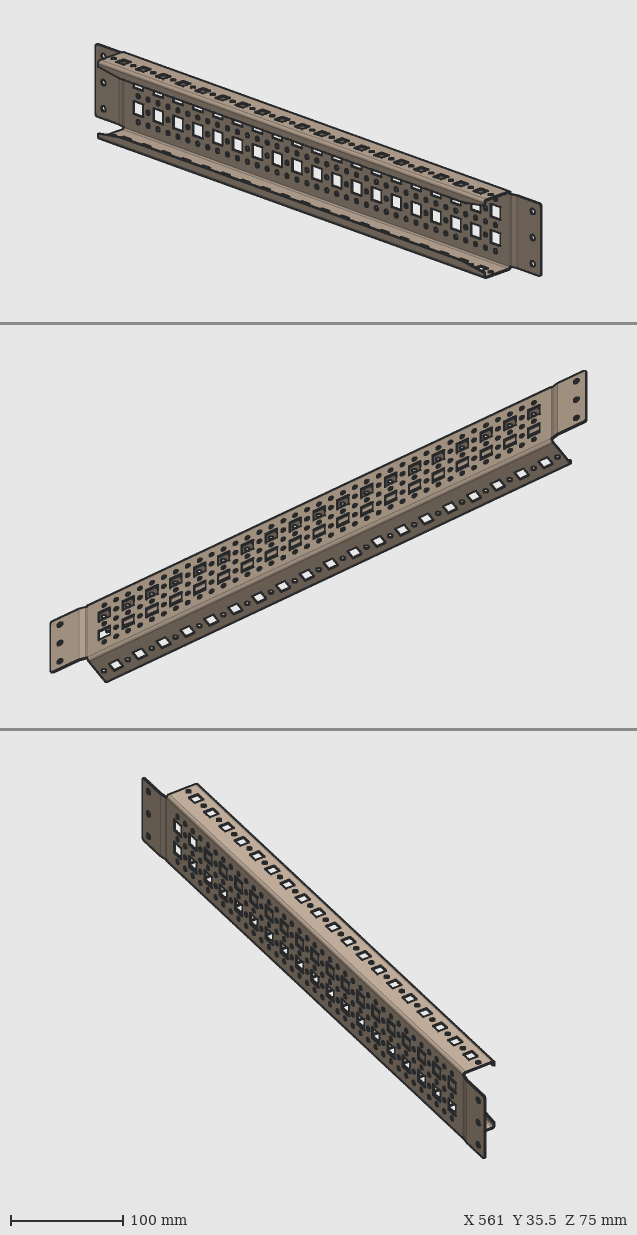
import cadquery as cq
import math

overall_length = 561.0
overall_depth = 35.5
overall_height = 75.0

channel_length = 486.5
channel_end_x = channel_length / 2
sheet = 1.5
bend_radius = 2 * sheet
lip_height = 9.5
lip_end_height = 5.5
lip_taper_length = 28.0

ear_height = overall_height - 2 * bend_radius
ear_inner_x = 251.0
joggle_end_x = 244.0
ear_corner_radius = 3.0
ear_hole_diameter = 5.5
ear_hole_inset = 10.0

window_columns = 19
window_span = 450.0
pitch = window_span / (window_columns - 1)
half_pitch = pitch / 2
web_window = 12.5
flange_window = 9.5
round_hole_diameter = 4.4
flange_row_from_front = 14.0

web_back_y = -sheet
web_front_y = web_back_y - sheet
front_y = -overall_depth
flange_row_y = front_y + flange_row_from_front

window_xs = [(i - (window_columns - 1) / 2) * pitch for i in range(window_columns)]
between_xs = [x + half_pitch for x in window_xs[:-1]]
all_web_xs = window_xs + between_xs
flange_round_xs = [window_xs[0] - half_pitch] + [x + half_pitch for x in window_xs]


def grid(xs, rows):
    return [(x, row) for x in xs for row in rows]


def lipped_channel():
    """C-section with rounded bends, hollowed and opened between the lips."""
    depth = web_back_y - front_y
    mid_y = (web_back_y + front_y) / 2
    outer = (
        cq.Workplane("XY")
        .box(channel_length, depth, overall_height)
        .edges("|X")
        .fillet(bend_radius)
    )
    inner = (
        cq.Workplane("XY")
        .box(channel_length, depth - 2 * sheet, overall_height - 2 * sheet)
        .edges("|X")
        .fillet(bend_radius - sheet)
    )
    return outer.cut(inner).translate((0, mid_y, 0)).cut(lip_opening())


def lip_opening():
    """Opening between the lips, flared toward both ends of the channel."""
    end_x = channel_end_x
    taper_x = end_x - lip_taper_length
    middle_z = overall_height / 2 - lip_height
    end_z = overall_height / 2 - lip_end_height
    upper = [(-end_x, end_z), (-taper_x, middle_z), (taper_x, middle_z), (end_x, end_z)]
    lower = [(x, -z) for x, z in reversed(upper)]
    return (
        cq.Workplane("XZ", origin=(0, front_y + 2 * sheet, 0))
        .polyline(upper + lower)
        .close()
        .extrude(2 * sheet)
    )


def ear():
    """Ear at the +X end with its joggle down to the web and three screw holes."""
    web_x = channel_end_x - sheet
    tip_x = overall_length / 2
    profile = [
        (web_x, web_back_y),
        (joggle_end_x, web_back_y),
        (ear_inner_x, 0),
        (tip_x, 0),
        (tip_x, -sheet),
        (ear_inner_x, -sheet),
        (joggle_end_x, web_front_y),
        (web_x, web_front_y),
    ]
    joggle_angle = math.atan2(sheet, ear_inner_x - joggle_end_x)
    bend_setback = joggle_end_x - channel_end_x
    joggle_bend_radius = bend_setback / math.tan(joggle_angle / 2)
    bend_box = cq.selectors.BoxSelector(
        (joggle_end_x - sheet / 2, -overall_depth, -ear_height),
        (joggle_end_x + sheet / 2, 0, ear_height),
    )
    plate = (
        cq.Workplane("XY")
        .polyline(profile)
        .close()
        .extrude(ear_height / 2, both=True)
        .edges("|Y and >X")
        .fillet(ear_corner_radius)
        .edges("|Z")
        .edges(bend_box)
        .fillet(joggle_bend_radius)
    )
    screw_points = [(tip_x - ear_hole_inset, row * pitch) for row in (-1, 0, 1)]
    screws = (
        cq.Workplane("XZ")
        .pushPoints(screw_points)
        .circle(ear_hole_diameter / 2)
        .extrude(sheet)
    )
    return plate.cut(screws)


def web_holes():
    """Two rows of square windows and five rows of round holes in the web."""
    plane = cq.Workplane("XZ", origin=(0, web_back_y, 0))
    windows = (
        plane.pushPoints(grid(window_xs, (-half_pitch, half_pitch)))
        .rect(web_window, web_window)
        .extrude(sheet)
    )
    round_points = grid(all_web_xs, (-pitch, 0, pitch)) + grid(between_xs, (-half_pitch, half_pitch))
    rounds = plane.pushPoints(round_points).circle(round_hole_diameter / 2).extrude(sheet)
    return windows.add(rounds)


def flange_holes():
    """Alternating round holes and square windows through both flanges."""
    plane = cq.Workplane("XY", origin=(0, 0, -overall_height / 2))
    windows = (
        plane.pushPoints(grid(window_xs, (flange_row_y,)))
        .rect(flange_window, flange_window)
        .extrude(overall_height)
    )
    rounds = (
        plane.pushPoints(grid(flange_round_xs, (flange_row_y,)))
        .circle(round_hole_diameter / 2)
        .extrude(overall_height)
    )
    return windows.add(rounds)


def cut_all(body, cutters):
    return cq.Workplane("XY").newObject([body.val().cut(*cutters.vals())])


right_ear = ear()
left_ear = right_ear.mirror("YZ")
body = lipped_channel().union(right_ear).union(left_ear)
body = cut_all(body, web_holes())
result = cut_all(body, flange_holes())